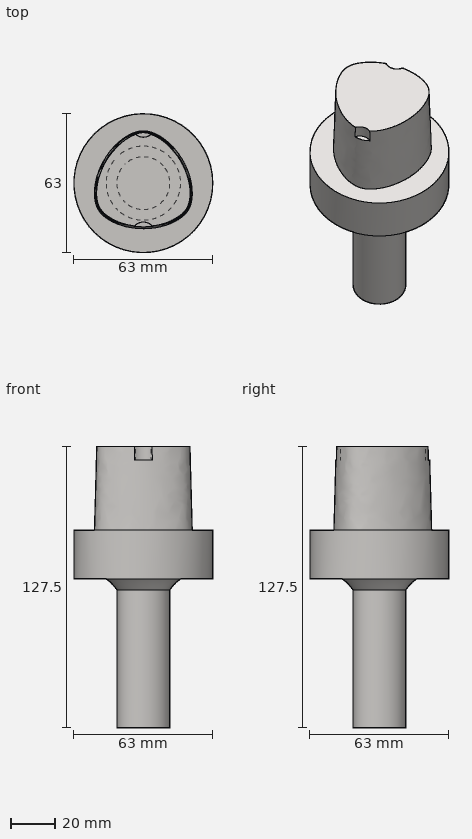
import cadquery as cq
import math

total_height = 127.5
shank_length = 62.5
neck_height = 5.0
flange_thickness = 22.2
neck_bottom = shank_length
flange_bottom = neck_bottom + neck_height
flange_top = flange_bottom + flange_thickness

flange_diameter = 63.0
shank_diameter = 24.0
neck_top_diameter = 33.7
neck_flare_radius = 19.1

base_mean_radius = 22.2
top_mean_radius = 21.2
eccentricity = 1.5
lobes = 3
samples_per_lobe = 16

notch_radius = 5.2
notch_height = 6.2
lobe_notch_reach = 20.8
flat_notch_reach = 17.6


def lobed_point(mean_radius, angle):
    """Point where the outward normal makes the given angle with the lobe axis.

    The tangent line lies at mean_radius + eccentricity * cos(lobes * angle) from the centre.
    """
    distance = mean_radius + eccentricity * math.cos(lobes * angle)
    slope = -lobes * eccentricity * math.sin(lobes * angle)
    x = distance * math.sin(angle) + slope * math.cos(angle)
    y = distance * math.cos(angle) - slope * math.sin(angle)
    return x, y


def lobed_wire(mean_radius, height):
    """Smooth closed three-lobed outline at the given height, starting on the -Y flat."""
    count = lobes * samples_per_lobe
    angles = [math.pi + 2 * math.pi * i / count for i in range(count)]
    points = [cq.Vector(*lobed_point(mean_radius, a), height) for a in angles]
    return cq.Wire.assembleEdges([cq.Edge.makeSpline(points, periodic=True)])


def turned_body():
    """Shank, concave flared neck and flange as one revolved profile."""
    shank_radius = shank_diameter / 2
    neck_radius = neck_top_diameter / 2
    flange_radius = flange_diameter / 2
    return (
        cq.Workplane("XZ")
        .lineTo(shank_radius, 0)
        .lineTo(shank_radius, neck_bottom)
        .radiusArc((neck_radius, flange_bottom), neck_flare_radius)
        .lineTo(flange_radius, flange_bottom)
        .lineTo(flange_radius, flange_top)
        .lineTo(0, flange_top)
        .close()
        .revolve(360, (0, 0, 0), (0, 1, 0))
    )


def polygon_taper():
    """Three-lobed taper rising from the flange."""
    base = lobed_wire(base_mean_radius, flange_top)
    top = lobed_wire(top_mean_radius, total_height)
    return cq.Workplane(obj=cq.Solid.makeLoft([base, top], True))


def notch_cutters():
    """Two upright cylinders that scoop the rim."""
    centres = [
        (0, lobe_notch_reach + notch_radius),
        (0, -flat_notch_reach - notch_radius),
    ]
    return (
        cq.Workplane(origin=(0, 0, total_height - notch_height))
        .pushPoints(centres)
        .circle(notch_radius)
        .extrude(notch_height)
    )


result = turned_body().union(polygon_taper()).cut(notch_cutters())